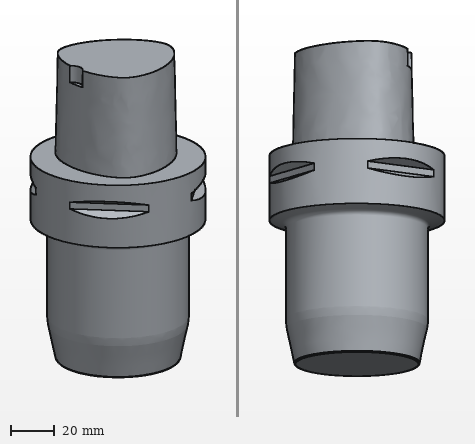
import cadquery as cq
import math

total_height = 145
flange_top = 97.0
flange_bottom = 66.8
blend_top = 20.6
blend_bottom = 16.5

flange_radius = 80.0 / 2
body_radius = 65.0 / 2
nose_angle = math.radians(12)
nose_chamfer = 0.6
underside_rim = 1.5
underside_angle = math.radians(18)
neck_fillet = 2.5

shank_base_radius = 27.7
shank_top_radius = 26.7
lobe_count = 3
lobe_height = 2.0

notch_radius = 5.8
notch_back = 22.2
notch_depth = 8.0

groove_count = 4
groove_height = 85.0
groove_floor_width = 3.2
groove_floor_radius = 35.7
groove_wall_angle = math.radians(30)


def make_body():
    """Revolve the flange, neck and tapered nose about Z."""
    blend_length = blend_top - blend_bottom
    blend_radius = blend_length / math.sin(nose_angle)
    blend_centre = body_radius - blend_radius
    half_angle = nose_angle / 2
    blend_middle = (
        blend_centre + blend_radius * math.cos(half_angle),
        blend_top - blend_radius * math.sin(half_angle),
    )
    cone_radius = blend_centre + blend_radius * math.cos(nose_angle)
    nose_radius = cone_radius - (blend_bottom - nose_chamfer) * math.tan(nose_angle)

    rim_radius = flange_radius - underside_rim
    corner_height = flange_bottom - (rim_radius - body_radius) * math.tan(underside_angle)
    neck_turn = math.pi / 2 - underside_angle
    tangent_length = neck_fillet * math.tan(neck_turn / 2)
    neck_bottom = corner_height - tangent_length
    neck_centre = body_radius + neck_fillet
    neck_middle = (
        neck_centre - neck_fillet * math.cos(neck_turn / 2),
        neck_bottom + neck_fillet * math.sin(neck_turn / 2),
    )
    neck_end = (
        body_radius + tangent_length * math.cos(underside_angle),
        corner_height + tangent_length * math.sin(underside_angle),
    )

    return (
        cq.Workplane("XZ")
        .lineTo(nose_radius - nose_chamfer, 0)
        .lineTo(nose_radius, nose_chamfer)
        .lineTo(cone_radius, blend_bottom)
        .threePointArc(blend_middle, (body_radius, blend_top))
        .lineTo(body_radius, neck_bottom)
        .threePointArc(neck_middle, neck_end)
        .lineTo(rim_radius, flange_bottom)
        .lineTo(flange_radius, flange_bottom)
        .lineTo(flange_radius, flange_top)
        .lineTo(0, flange_top)
        .close()
        .revolve(360, (0, 0, 0), (0, 1, 0))
    )


def lobed_wire(mean_radius, height):
    """Constant-width three-lobed outline with one lobe toward +Y."""

    def point(fraction):
        angle = 2 * math.pi * fraction
        radial = mean_radius + lobe_height * math.cos(lobe_count * angle)
        tangential = -lobe_count * lobe_height * math.sin(lobe_count * angle)
        return (
            -radial * math.sin(angle) - tangential * math.cos(angle),
            radial * math.cos(angle) - tangential * math.sin(angle),
        )

    outline_points = 60
    points = [point(i / outline_points) for i in range(outline_points)]
    return cq.Workplane("XY", origin=(0, 0, height)).spline(points, periodic=True).close().val()


def make_shank():
    base = lobed_wire(shank_base_radius, flange_top)
    top = lobed_wire(shank_top_radius, total_height)
    shank = cq.Workplane(cq.Solid.makeLoft([base, top], True))
    notch = (
        cq.Workplane("XY", origin=(0, -notch_back - notch_radius, total_height - notch_depth))
        .circle(notch_radius)
        .extrude(notch_depth)
    )
    return shank.cut(notch)


def make_groove():
    """Straight cutter with sloping walls, lying across the +X side."""
    depth = flange_radius - groove_floor_radius
    floor_half = groove_floor_width / 2
    mouth_half = floor_half + depth * math.tan(groove_wall_angle)
    return (
        cq.Workplane("XZ")
        .moveTo(groove_floor_radius, groove_height - floor_half)
        .lineTo(flange_radius, groove_height - mouth_half)
        .lineTo(flange_radius, groove_height + mouth_half)
        .lineTo(groove_floor_radius, groove_height + floor_half)
        .close()
        .extrude(flange_radius, both=True)
    )


result = make_body().union(make_shank())

groove_spacing = 360 / groove_count
for index in range(groove_count):
    groove_angle = (index + 0.5) * groove_spacing
    result = result.cut(make_groove().rotate((0, 0, 0), (0, 0, 1), groove_angle))